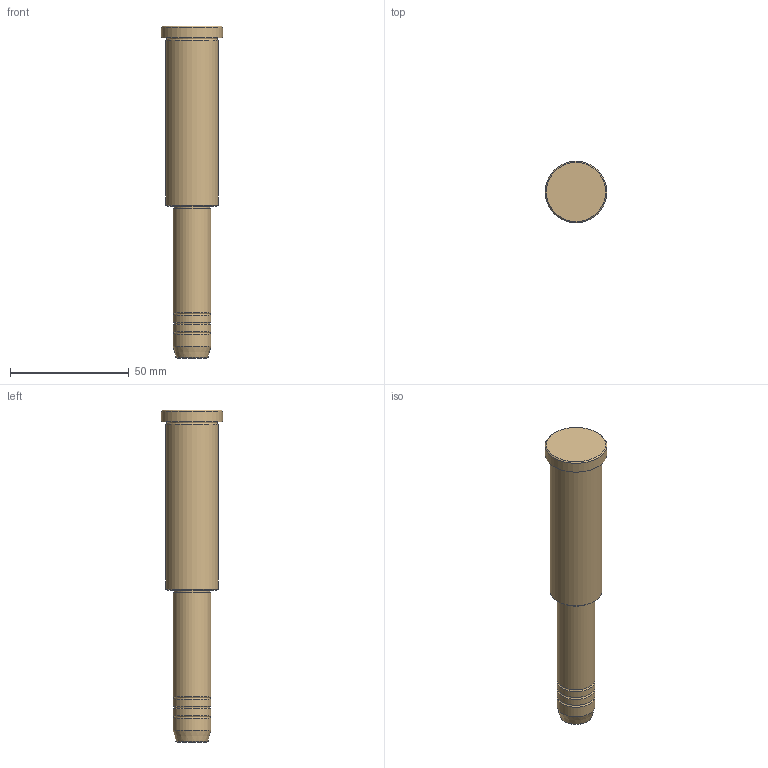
import cadquery as cq
import math

total_length = 140.0

head_diameter = 26.0
head_height = 5.0
head_chamfer = 0.5

body_diameter = 22.0
body_bottom = 64.0
body_chamfer = 0.5

pin_diameter = 16.0

tip_height = 5.0
tip_taper_angle = 15.0
tip_fillet = 0.5

neck_width = 1.0
neck_depth = 0.5

groove_radius = 0.5
pin_groove_count = 3
pin_groove_pitch = 4.0
lowest_pin_groove_center = 10.5

head_bottom = total_length - head_height


def cylinder(diameter, bottom, top):
    return cq.Workplane("XY").workplane(offset=bottom).circle(diameter / 2).extrude(top - bottom)


def revolve_about_z(outline):
    """Solid of revolution about Z from a closed outline drawn in the XZ plane."""
    return outline.close().revolve(360, (0, 0, 0), (0, 1, 0))


def half_round_groove(diameter, center_height):
    """Cutter for a half-round groove around a shaft of the given diameter."""
    radius = diameter / 2
    outline = (
        cq.Workplane("XZ")
        .moveTo(radius, center_height - groove_radius)
        .threePointArc(
            (radius - groove_radius, center_height),
            (radius, center_height + groove_radius),
        )
    )
    return revolve_about_z(outline)


def make_head():
    head = cylinder(head_diameter, head_bottom, total_length)
    return head.faces(">Z").chamfer(head_chamfer)


def make_body():
    body = cylinder(body_diameter, body_bottom, head_bottom)
    body = body.faces("<Z").chamfer(body_chamfer)
    return body.cut(half_round_groove(body_diameter, head_bottom - groove_radius))


def make_pin():
    pin_radius = pin_diameter / 2
    tip_radius = pin_radius - tip_height * math.tan(math.radians(tip_taper_angle))
    neck_radius = pin_radius - neck_depth
    neck_bottom = body_bottom - neck_width
    outline = cq.Workplane("XZ").polyline([
        (0, 0),
        (tip_radius, 0),
        (pin_radius, tip_height),
        (pin_radius, neck_bottom),
        (neck_radius, neck_bottom),
        (neck_radius, body_bottom),
        (0, body_bottom),
    ])
    pin = revolve_about_z(outline).faces("<Z").edges().fillet(tip_fillet)
    for index in range(pin_groove_count):
        groove_center = lowest_pin_groove_center + index * pin_groove_pitch
        pin = pin.cut(half_round_groove(pin_diameter, groove_center))
    return pin


result = make_head().union(make_body()).union(make_pin())